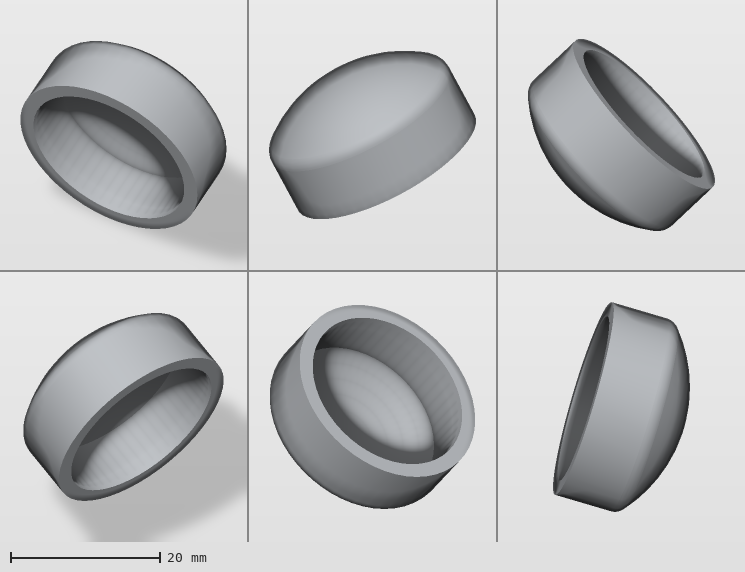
import cadquery as cq
import math

outer_diameter = 26.9
overall_length = 14.0
wall = 2.0
inner_dome_radius = 17.5

outer_radius = outer_diameter / 2
bore_radius = outer_radius - wall
outer_dome_radius = inner_dome_radius + wall

dome_center_y = overall_length - outer_dome_radius
inner_apex_y = overall_length - wall

dome_half_angle = math.asin(bore_radius / inner_dome_radius)
corner_y = dome_center_y + inner_dome_radius * math.cos(dome_half_angle)


def dome_point(radius, angle):
    """Point on a dome surface, at the given angle away from the Y axis."""
    return (radius * math.sin(angle), dome_center_y + radius * math.cos(angle))


def rounded_edge_point(angle):
    """Point on the rounded outer edge, at the given angle away from the Y axis."""
    return (bore_radius + wall * math.sin(angle), corner_y + wall * math.cos(angle))


def make_cap():
    """Revolve the wall section, drawn in the XY plane, about the Y axis."""
    edge_middle_angle = (dome_half_angle + math.pi / 2) / 2
    section = (
        cq.Workplane("XY")
        .moveTo(bore_radius, 0)
        .lineTo(outer_radius, 0)
        .lineTo(outer_radius, corner_y)
        .threePointArc(
            rounded_edge_point(edge_middle_angle),
            rounded_edge_point(dome_half_angle),
        )
        .threePointArc(
            dome_point(outer_dome_radius, dome_half_angle / 2),
            (0, overall_length),
        )
        .lineTo(0, inner_apex_y)
        .threePointArc(
            dome_point(inner_dome_radius, dome_half_angle / 2),
            (bore_radius, corner_y),
        )
        .close()
    )
    return section.revolve(360, (0, 0, 0), (0, 1, 0))


result = make_cap()